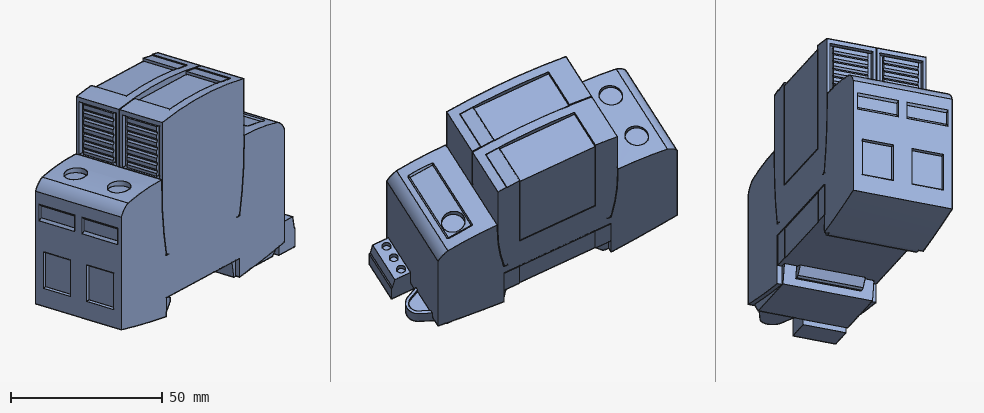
import cadquery as cq
import math


overall_length = 97.2
width = 35.5
half_width = width / 2
half_length = 45.0
bottom_end_height = 4.6
bottom_mid = (32.6, 2.3)
bottom_rail_height = 0.6
shoulder_start = 45.3
shoulder_mid = (43.4, 47.5)
shoulder_end = (41.3, 49.1)
roof_mid = (33.0, 50.4)
roof_height = 50.9

slot_half = 20.1
slot_roof = 7.4
slot_side_top = 18.5
slot_side_inset = 0.2
panel_inset = 0.2

tower_half = 22.5
tower_edge_height = 71.5
tower_top = 73.4
tower_taper_start = 47.1
tower_bottom = 22.7
tower_bottom_half = 19.9
tower_corner_radius = 1.5
socket_gap = 0.3
module_gap = 0.3
module_pitch = half_width + module_gap / 2
panel_half = 14.2
panel_bottom = 34.4
panel_floor = 71.4
top_rib = 3.1
top_recess_width = module_pitch - module_gap - top_rib
ledge_outer = (19.3, 72.1)
ledge_edge = (19.05, 71.7)
ledge_inner_height = 72.4

louvre_recess_x = (-16.6, -1.3)
louvre_recess_top = 69.9
louvre_recess_depth = 1.75
louvre_block_x = (-15.2, -2.8)
louvre_block_top = 69.2
louvre_block_bottom = 51.2
louvre_block_inset = 0.4
groove_count = 6
groove_top_height = 66.9
groove_bottom_height = 53.0
groove_pitch = (groove_top_height - groove_bottom_height) / (groove_count - 1)
groove_width = 1.5
groove_depth = 0.5

marker_opening = (-16.2, 35.0, -1.6, 41.0)
marker_floor = (-15.9, 36.0, -1.8, 40.2)
marker_depth = 0.7
terminal_opening = (-14.5, 11.1, -3.3, 24.2)
terminal_floor = (-14.4, 11.4, -3.7, 23.9)
terminal_depth = 1.0

screw_x = 8.9
screw_y = 34.5
screw_radius = 3.9
front_screw_floor = 48.9
rear_screw_floor = 47.9

label_width = 26.6
label_back = 38.7
label_front = 30.1
label_back_height = 49.0
label_front_height = 50.3
label_draft = 45
label_cutter_height = 1.9

foot_half = 16.0
embed_height = 7.8
foot_bottom = 0.4
foot_points = [
    (43.2, embed_height),
    (43.2, 3.4),
    (40.5, foot_bottom),
    (19.2, foot_bottom),
    (18.0, slot_roof),
    (18.0, embed_height),
]
catch_points = [(19.0, 3.0), (17.8, 2.8), (16.8, 3.3), (14.9, 6.2), (18.0, 7.2), (19.0, 7.2)]
catch_half = 11.7
hook_points = [
    (-17.8, embed_height),
    (-17.8, 6.5),
    (-15.65, 5.4),
    (-15.65, 4.2),
    (-17.9, 1.0),
    (-18.9, bottom_rail_height),
    (-slot_half, bottom_rail_height),
    (-slot_half, embed_height),
]
tab_x = -8.1
tab_bottom = 2.1
tab_top = 7.1
tab_root = (6.5, 43.3)
tab_shoulder = (3.6, 49.4)
tab_tip = 51.4
tab_rim = 1.1
tab_recess_depth = 1.0

connector_x = 8.9
connector_width = 15.4
connector_end = overall_length - half_length
connector_inner = 43.3
connector_top = 11.3
connector_points = [
    (connector_inner, 0),
    (connector_end, 0),
    (connector_end, 6.5),
    (51.8, 7.1),
    (50.9, connector_top),
    (connector_inner, connector_top),
]
contact_pitch = 5.1
contact_y = 47.1
contact_radius = 1.5
contact_depth = 1.9
contact_count = 3


def box(x0, x1, y0, y1, z0, z1):
    """Axis-aligned block between the given limits."""
    return cq.Workplane("XY").box(x1 - x0, y1 - y0, z1 - z0, centered=False).translate((x0, y0, z0))


def across(profile, x0, x1):
    """Extrude a closed (Y, Z) profile from x0 to x1."""
    return profile.extrude(x1 - x0).translate((x0, 0, 0))


def side_polygon(points, x0, x1):
    """Prism across X with a straight-sided (Y, Z) outline."""
    return across(cq.Workplane("YZ").polyline(points).close(), x0, x1)


def both_poles(shape):
    """The shape of the left pole together with its mirror image on the right pole."""
    return shape.union(shape.mirror("YZ"))


def base_housing():
    profile = (
        cq.Workplane("YZ")
        .moveTo(slot_half, bottom_rail_height)
        .threePointArc(bottom_mid, (half_length, bottom_end_height))
        .lineTo(half_length, shoulder_start)
        .threePointArc(shoulder_mid, shoulder_end)
        .threePointArc(roof_mid, (tower_half, roof_height))
        .lineTo(-tower_half, roof_height)
        .threePointArc((-roof_mid[0], roof_mid[1]), (-shoulder_end[0], shoulder_end[1]))
        .threePointArc((-shoulder_mid[0], shoulder_mid[1]), (-half_length, shoulder_start))
        .lineTo(-half_length, bottom_end_height)
        .threePointArc((-bottom_mid[0], bottom_mid[1]), (-slot_half, bottom_rail_height))
        .lineTo(-slot_half, slot_roof)
        .lineTo(slot_half, slot_roof)
        .close()
    )
    return across(profile, -half_width, half_width)


def tower(side_gap):
    """Both modules in one: a crowned top, and sides that curve inward down in the housing."""
    top_half = tower_half + side_gap
    bottom_half = tower_bottom_half + side_gap
    drop = tower_taper_start - tower_bottom
    side_radius = (drop**2 + (top_half - bottom_half) ** 2) / (2 * (top_half - bottom_half))
    half_angle = math.asin(drop / side_radius) / 2
    side_mid_y = top_half - side_radius * (1 - math.cos(half_angle))
    side_mid_z = tower_taper_start - side_radius * math.sin(half_angle)
    profile = (
        cq.Workplane("YZ")
        .moveTo(top_half, tower_edge_height)
        .threePointArc((0, tower_top), (-top_half, tower_edge_height))
        .lineTo(-top_half, tower_taper_start)
        .threePointArc((-side_mid_y, side_mid_z), (-bottom_half, tower_bottom))
        .lineTo(bottom_half, tower_bottom)
        .threePointArc((side_mid_y, side_mid_z), (top_half, tower_taper_start))
        .close()
    )
    return across(profile, -half_width, half_width)


def housing_with_modules():
    """Housing and modules, parted by a narrow gap along the sides of the modules."""
    modules = tower(0)
    plug = modules.edges("|X and <Z").fillet(tower_corner_radius)
    gap = tower(socket_gap).cut(plug)
    return base_housing().cut(gap).union(modules.cut(gap))


def rail_slot_insets():
    """The rail slot side is set back in two steps from the left face."""
    flank = box(
        -half_width, -half_width + slot_side_inset, -slot_half, slot_half, slot_roof, slot_side_top
    )
    centre = box(
        -half_width, -half_width + 2 * slot_side_inset, -panel_half, panel_half, slot_roof, slot_side_top
    )
    return flank.union(centre)


def module_separation():
    half_gap = module_gap / 2
    return box(-half_gap, half_gap, -tower_half, tower_half, roof_height, tower_top)


def module_recess(left_face, panel_base):
    """Recess in the top of a module, with a ledge behind it and a set-back left panel."""
    recess_right = left_face + top_recess_width
    panel_front = left_face + panel_inset
    top = box(left_face, recess_right, -panel_half, panel_half, panel_floor, tower_top)
    panel = box(left_face, panel_front, -panel_half, panel_half, panel_base, panel_floor)
    ledge_points = [
        ledge_outer,
        ledge_edge,
        (panel_half, ledge_inner_height),
        (panel_half, tower_top),
        (ledge_outer[0], tower_top),
    ]
    return top.union(panel).union(side_polygon(ledge_points, left_face, recess_right))


def louvre_cut():
    """Recess in the front of the left module around a block with V grooves."""
    front = -tower_half
    block_front = front + louvre_block_inset
    back = front + louvre_recess_depth
    recess = box(*louvre_recess_x, front, back, roof_height, louvre_recess_top)
    block = box(*louvre_block_x, block_front, back, louvre_block_bottom, louvre_block_top)
    for i in range(groove_count):
        z = groove_top_height - i * groove_pitch
        groove = [
            (block_front, z + groove_width / 2),
            (block_front + groove_depth, z),
            (block_front, z - groove_width / 2),
        ]
        block = block.cut(side_polygon(groove, *louvre_block_x))
    return recess.cut(block)


def front_window(opening, floor, depth):
    """Pocket in the front face that narrows from its opening to its floor."""

    def outline(limits, plane):
        x0, z0, x1, z1 = limits
        return plane.polyline([(x0, z0), (x1, z0), (x1, z1), (x0, z1)]).close()

    face = outline(opening, cq.Workplane("XZ", origin=(0, -half_length, 0)))
    return outline(floor, face.workplane(offset=-depth)).loft(ruled=True)


def screw_hole(x, y, floor_height):
    plane = cq.Workplane("XY", origin=(x, y, floor_height))
    return plane.circle(screw_radius).extrude(roof_height - floor_height)


def label_pocket():
    """Shallow pocket in the rear roof with a sloping floor and drafted walls."""
    run = label_back - label_front
    rise = label_front_height - label_back_height
    centre = (0, (label_back + label_front) / 2, (label_back_height + label_front_height) / 2)
    floor = cq.Plane(origin=centre, xDir=(1, 0, 0), normal=(0, rise, run))
    return (
        cq.Workplane(floor)
        .rect(label_width, math.hypot(run, rise))
        .extrude(label_cutter_height, taper=-label_draft)
    )


def release_tab():
    """Round-nosed tab of the sliding foot, with a shallow recess inside a rim."""
    root_x, root_y = tab_root
    shoulder_x, shoulder_y = tab_shoulder

    def outline(height):
        return (
            cq.Workplane("XY", origin=(tab_x, 0, height))
            .moveTo(-root_x, root_y)
            .lineTo(-shoulder_x, shoulder_y)
            .threePointArc((0, tab_tip), (shoulder_x, shoulder_y))
            .lineTo(root_x, root_y)
            .close()
        )

    recess = outline(tab_top - tab_recess_depth).offset2D(-tab_rim).extrude(tab_recess_depth)
    return outline(tab_bottom).extrude(tab_top - tab_bottom).cut(recess)


def connector():
    half = connector_width / 2
    body = side_polygon(connector_points, connector_x - half, connector_x + half)
    contacts = (
        cq.Workplane("XY", origin=(connector_x, contact_y, connector_top))
        .rarray(contact_pitch, 1, contact_count, 1)
        .circle(contact_radius)
        .extrude(-contact_depth)
    )
    return body.cut(contacts)


result = housing_with_modules()
result = result.cut(rail_slot_insets()).cut(module_separation())
result = result.cut(module_recess(-half_width, panel_bottom))
result = result.cut(module_recess(module_gap / 2, roof_height))
result = result.cut(both_poles(louvre_cut()))
result = result.cut(both_poles(front_window(marker_opening, marker_floor, marker_depth)))
result = result.cut(both_poles(front_window(terminal_opening, terminal_floor, terminal_depth)))
result = result.cut(label_pocket())
result = result.cut(screw_hole(-screw_x, screw_y, rear_screw_floor))
result = result.cut(both_poles(screw_hole(-screw_x, -screw_y, front_screw_floor)))
result = result.union(side_polygon(foot_points, -foot_half, foot_half))
result = result.union(side_polygon(catch_points, -catch_half, catch_half))
result = result.union(side_polygon(hook_points, -foot_half, foot_half))
result = result.union(release_tab()).union(connector())